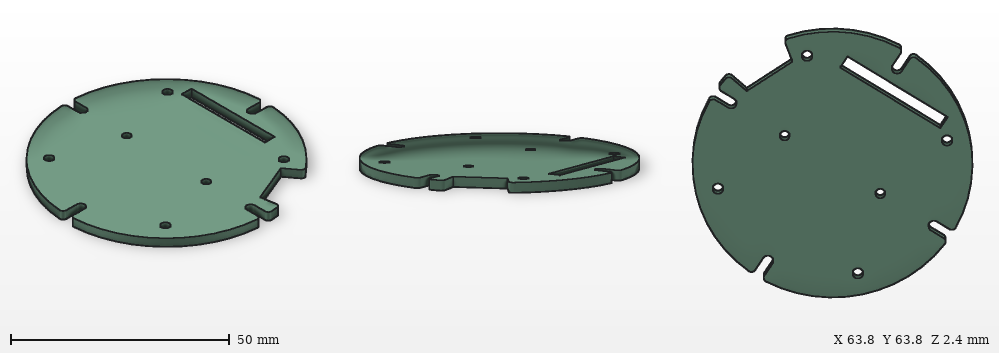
import cadquery as cq
import math

overall_size = 63.8
thickness = 2.4
corner_radius = 1.0

slot_width = 2.5
slot_inner_reach = 26.25
slot_count = 4

disc_radius = corner_radius + math.hypot(
    overall_size / 2 - corner_radius,
    slot_width / 2 + corner_radius,
)

notch_direction = 23.4
notch_half_angle = 13.8
notch_floor_distance = 25.65

window_length = 27.1
window_width = 3.1
window_center = (-2.5, 22.2)

corner_hole_diameter = 2.4
corner_hole_offset = 18.95
inner_hole_diameter = 2.25
inner_hole_offset = 12.95

overrun = 1.2


def slot_cutter(angle):
    """Slot open at the rim, pointing outward at the given angle."""
    end_center = slot_inner_reach + slot_width / 2
    length = disc_radius * overrun - end_center
    channel = (
        cq.Workplane("XY")
        .center(end_center + length / 2, 0)
        .rect(length, slot_width)
        .extrude(thickness)
    )
    round_end = (
        cq.Workplane("XY")
        .center(end_center, 0)
        .circle(slot_width / 2)
        .extrude(thickness)
    )
    return channel.union(round_end).rotate((0, 0, 0), (0, 0, 1), angle)


def notch_cutter():
    """Trapezoid bounded by two radial flanks and the notch floor."""
    flare = math.tan(math.radians(notch_half_angle))
    inner = notch_floor_distance
    outer = disc_radius * overrun
    outline = [
        (inner, -inner * flare),
        (outer, -outer * flare),
        (outer, outer * flare),
        (inner, inner * flare),
    ]
    cutter = cq.Workplane("XY").polyline(outline).close().extrude(thickness)
    return cutter.rotate((0, 0, 0), (0, 0, 1), notch_direction)


def is_rim_corner(edge):
    """True for the upright edges where a cut meets the rim."""
    center = edge.Center()
    tolerance = 0.005
    return abs(math.hypot(center.x, center.y) - disc_radius) < tolerance


plate = cq.Workplane("XY").circle(disc_radius).extrude(thickness)

for index in range(slot_count):
    plate = plate.cut(slot_cutter(index * 360 / slot_count))
plate = plate.cut(notch_cutter())

rim_corners = [edge for edge in plate.edges("|Z").vals() if is_rim_corner(edge)]
plate = plate.newObject(rim_corners).fillet(corner_radius)

window = (
    cq.Workplane("XY")
    .center(*window_center)
    .rect(window_length, window_width)
    .extrude(thickness)
)
plate = plate.cut(window)

corner_holes = (
    cq.Workplane("XY")
    .rect(2 * corner_hole_offset, 2 * corner_hole_offset, forConstruction=True)
    .vertices()
    .circle(corner_hole_diameter / 2)
    .extrude(thickness)
)
plate = plate.cut(corner_holes)

inner_holes = (
    cq.Workplane("XY")
    .pushPoints([(-inner_hole_offset, 0), (inner_hole_offset, 0)])
    .circle(inner_hole_diameter / 2)
    .extrude(thickness)
)
result = plate.cut(inner_holes)